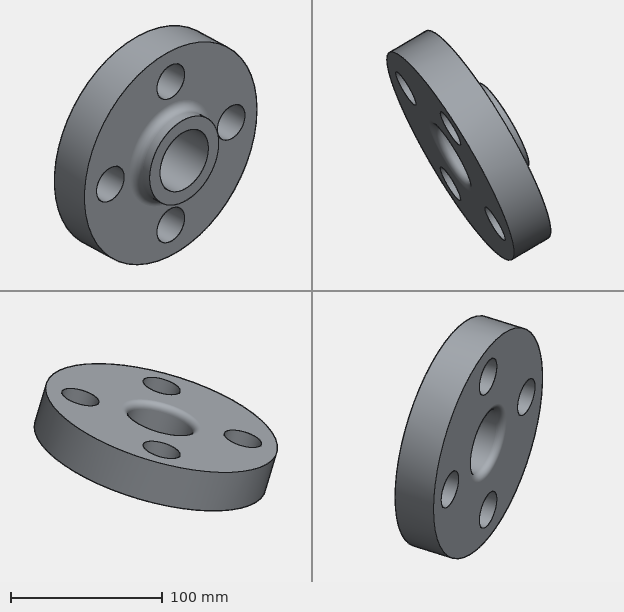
import cadquery as cq

flange_diameter = 158.8
total_length = 41.3
flange_thickness = 28.5

hub_diameter = 63.5
hub_length = total_length - flange_thickness
hub_fillet = 6.2

bore_diameter = 44.5
bore_mouth_radius = 4.8

bolt_hole_count = 4
bolt_hole_diameter = 25.4
bolt_circle_diameter = 111.1


def make_body():
    """Disc and hub, with a concave fillet at the foot of the hub."""
    disc = cq.Workplane("YZ").circle(flange_diameter / 2).extrude(flange_thickness)
    body = disc.faces(">X").workplane().circle(hub_diameter / 2).extrude(hub_length)
    hub_foot = cq.selectors.RadiusNthSelector(0)
    return body.faces("<X[1]").edges(hub_foot).fillet(hub_fillet)


def cut_bore(body):
    """Through bore with a rounded mouth on the flange face."""
    bored = body.faces("<X").workplane().circle(bore_diameter / 2).cutThruAll()
    bore_mouth = cq.selectors.RadiusNthSelector(0)
    return bored.faces("<X").edges(bore_mouth).fillet(bore_mouth_radius)


def make_bolt_holes():
    """Cylinders on the bolt circle, long enough to pass through the disc."""
    return (
        cq.Workplane("YZ")
        .polarArray(bolt_circle_diameter / 2, 0, 360, bolt_hole_count)
        .circle(bolt_hole_diameter / 2)
        .extrude(flange_thickness)
    )


result = cut_bore(make_body()).cut(make_bolt_holes())